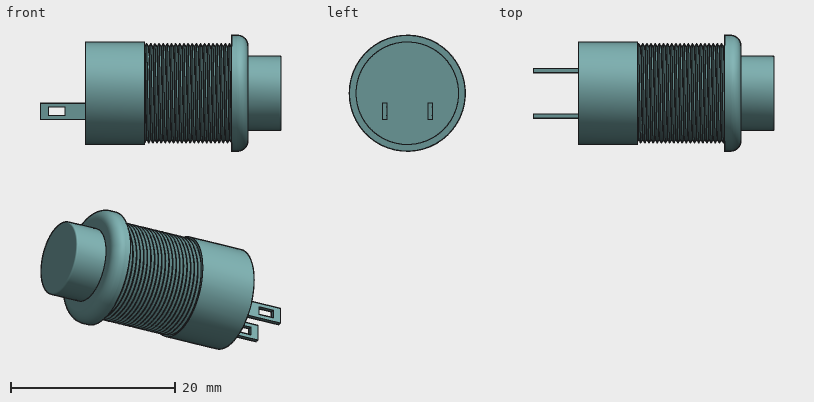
import cadquery as cq
import math


pin_length = 5.5
pin_height = 2.0
pin_thickness = 0.55
pin_spacing = 5.55
pin_center_z = -2.2
eyelet_length = 2.0
eyelet_height = 1.0
eyelet_tip_gap = 1.0

base_diameter = 12.5
base_length = 7.2

thread_length = 10.6
thread_turns = 21
thread_pitch = thread_length / thread_turns
thread_crest_diameter = 12.14
thread_root_diameter = 11.4
thread_angle = 60.0
ridge_embed = 0.05
overrun_turns = 1
core_overrun = 1.0

flange_diameter = 14.16
flange_thickness = 2.0
flange_fillet = 1.3

button_diameter = 9.1
button_length = 4.04
button_fillet = 0.2

base_start = pin_length
thread_start = base_start + base_length
flange_start = thread_start + thread_length
button_start = flange_start + flange_thickness


def cylinder_along_x(start, length, diameter):
    return cq.Workplane("YZ", origin=(start, 0, 0)).circle(diameter / 2).extrude(length)


def make_pin(center_y):
    """Flat solder pin with a rectangular eyelet near its tip."""
    plate = cq.Workplane("XY").box(
        pin_length, pin_thickness, pin_height, centered=(False, True, True)
    )
    eyelet = (
        cq.Workplane("XY")
        .box(eyelet_length, 2 * pin_thickness, eyelet_height, centered=(False, True, True))
        .translate((eyelet_tip_gap, 0, 0))
    )
    return plate.cut(eyelet).translate((0, center_y, pin_center_z))


def make_thread_ridge():
    """Right-handed V ridge that overruns both ends of the thread."""
    crest_radius = thread_crest_diameter / 2
    inner_radius = thread_root_diameter / 2 - ridge_embed
    half_width = (crest_radius - inner_radius) * math.tan(math.radians(thread_angle / 2))
    overrun = overrun_turns * thread_pitch
    ridge_length = thread_length + 2 * overrun

    path = cq.Wire.makeHelix(thread_pitch, ridge_length, inner_radius)
    ridge = (
        cq.Workplane("XZ")
        .polyline([(inner_radius, -half_width), (crest_radius, 0), (inner_radius, half_width)])
        .close()
        .sweep(cq.Workplane(obj=path), isFrenet=True)
    )
    return ridge.rotate((0, 0, 0), (0, 1, 0), 90).translate((thread_start - overrun, 0, 0))


def make_threaded_barrel():
    """Barrel core with its helical ridge, trimmed square between base and flange."""
    core_start = thread_start - core_overrun
    core_length = thread_length + 2 * core_overrun
    core = cylinder_along_x(core_start, core_length, thread_root_diameter)
    trim = cylinder_along_x(thread_start, thread_length, flange_diameter)
    return core.union(make_thread_ridge()).intersect(trim)


def make_housing():
    """Base, threaded barrel, flange and pins as one solid."""
    base = cylinder_along_x(base_start, base_length, base_diameter)
    flange = cylinder_along_x(flange_start, flange_thickness, flange_diameter)
    flange = flange.faces(">X").edges().fillet(flange_fillet)
    housing = make_threaded_barrel().union(base).union(flange)
    for side in (-1, 1):
        housing = housing.union(make_pin(side * pin_spacing / 2))
    return housing


def make_button():
    """Round push button standing on the front face of the flange."""
    button = cylinder_along_x(button_start, button_length, button_diameter)
    return button.faces(">X").edges().fillet(button_fillet)


housing = make_housing()
button = make_button()
result = cq.Compound.makeCompound([housing.solids().val(), button.solids().val()])